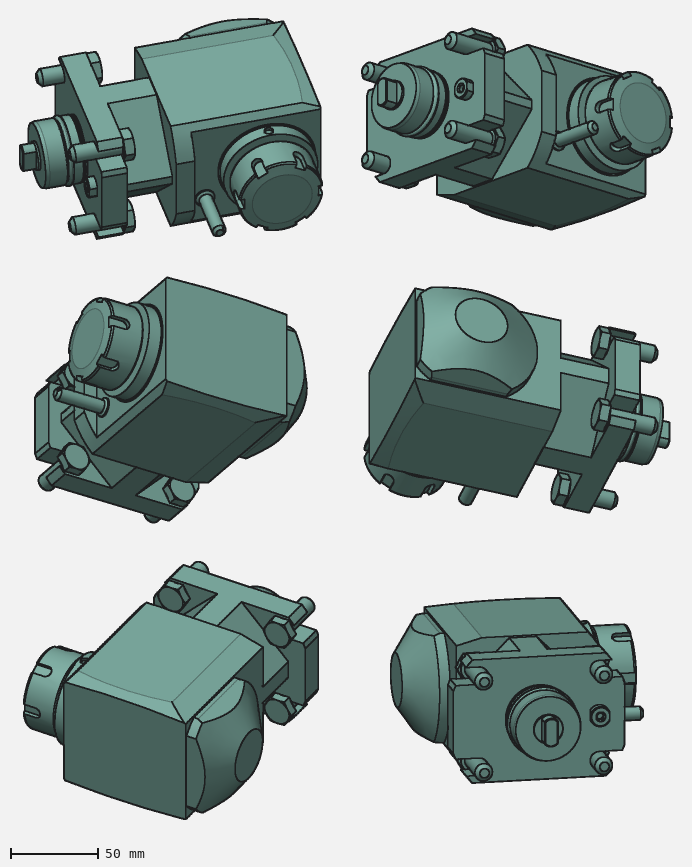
import cadquery as cq
import math


DISC_RADIUS = 53.5
FLANGE_HALF_WIDTH = 50.1
FLANGE_HALF_HEIGHT = 36.5
FLANGE_THICKNESS = 15.2
WEB_HALF_WIDTH = 8.0

HOUSING_FRONT = 44.1
HOUSING_BACK = 132.4
HOUSING_LEFT = -39.0
HOUSING_RIGHT = 41.8
HOUSING_HALF_HEIGHT = 37.5
LEFT_CHAMFER_RUN = 15.0
LEFT_CHAMFER_DROP = 4.0
LUG_BACK = 55.3
CROWN_RADIUS = 566.1
CROWN_CENTRE_X = 6.8
CROWN_LENGTH = 7.0
CROWN_SLOPE = 0.28

BOLT_X = 35.1
BOLT_Z = 27.0
BOLT_DIAMETER = 10.3
BOLT_TIP_DIAMETER = 5.5
BOLT_TIP_LENGTH = 2.3
BOLT_REACH = 15.0
BOLT_HEAD_FLATS = 16.2
BOLT_HEAD_TOP = 21.6
BOLT_HEAD_CHAMFER = 0.5
WASHER_DIAMETER = 14.7
WASHER_THICKNESS = 0.5

SHAFT_RADIUS = 20.0
SHAFT_RELIEF_RADIUS = 19.6
ROOT_GROOVE_RADIUS = 19.3
ROOT_GROOVE_START = 1.0
ROOT_GROOVE_END = 1.7
SHAFT_SHOULDER_START = 2.5
SHAFT_SHOULDER_END = 8.0
GROOVE_RADIUS = 17.8
GROOVE_END = 12.0
SHAFT_END = 24.8
SHAFT_CHAMFER_LENGTH = 2.2
SHAFT_CHAMFER_DEPTH = 0.7
RING_SECTION_RADIUS = 1.5
RING_OUTER_RADIUS = 20.6
TANG_SEAT_RADIUS = 8.5
TANG_SEAT_END = 26.1
TANG_WIDTH = 8.0
TANG_HEIGHT = 16.8
TANG_END = 34.1
TANG_SIDE_HEIGHT = 12.7
TANG_END_CHAMFER = 0.5

STUD_DIAMETER = 11.8
STUD_WIDTH = 10.5
STUD_HEIGHT = 5.0
STUD_CHAMFER = 0.5
STUD_HOLE_DIAMETER = 4.0
STUD_HOLE_DEPTH = 3.3
STUD_HOLE_CHAMFER = 0.8

SPINDLE_Y = 100.2
COLLAR_RADIUS = 28.0
COLLAR_FOOT_RADIUS = 29.0
COLLAR_FOOT_END = 42.3
COLLAR_END = 50.3
COLLAR_HOLE_X = 46.3
COLLAR_HOLE_DIAMETER = 5.3
COLLAR_HOLE_DEPTH = 1.7
NECK_RADIUS = 20.5
NUT_START = 52.1
NUT_END = 74.6
NUT_RADIUS = 25.0
NUT_BACK_CHAMFER = 0.8
NUT_FRONT_START = 72.0
NUT_RIM_X = 73.1
NUT_RIM_RADIUS = 24.3
NUT_FACE_RADIUS = 17.8
NUT_SLOT_COUNT = 6
NUT_SLOT_WIDTH = 6.7
NUT_SLOT_START = 61.6
NUT_SLOT_FLOOR = 22.0

NOZZLE_Y = 63.5
NOZZLE_Z = -17.5
NOZZLE_RADIUS = 4.0
NOZZLE_FOOT_RADIUS = 5.7
NOZZLE_FOOT_END = 42.6
NOZZLE_STEM_START = 43.8
NOZZLE_CONE_START = 72.5
NOZZLE_END = 74.3
NOZZLE_TIP_RADIUS = 2.2
NOZZLE_OUTLET_DIAMETER = 2.3
NOZZLE_OUTLET_DEPTH = 1.7
NOZZLE_OUTLET_ANGLE = 45.0

CAP_RADIUS = 39.8
CAP_FACE_RADIUS = 15.8
CAP_FACE_X = -62.1
CAP_RIM_X = -45.3
CAP_BACK = 131.5
CAP_HALF_HEIGHT = 32.5
CAP_TAPER_START = -41.6
CAP_TAPER_SLOPE = 0.26


def across(y_start):
    """Plane at right angles to Y: local axes are X and Z, and a negative extrusion runs to +Y."""
    return cq.Workplane("XZ", origin=(0, y_start, 0))


def box(x_range, y_range, z_range):
    size = [high - low for low, high in (x_range, y_range, z_range)]
    return cq.Workplane("XY", origin=(x_range[0], y_range[0], z_range[0])).box(*size, centered=False)


def turned_along_x(points, y, z):
    """Solid of revolution about an axis parallel to X, from (x, radius) points."""
    outline = [(points[0][0], 0), *points, (points[-1][0], 0)]
    return cq.Workplane("XY", origin=(0, y, z)).polyline(outline).close().revolve(360, (0, 0), (1, 0))


def turned_along_y(points, x, z):
    """Solid of revolution about an axis parallel to Y, from (radius, y) points."""
    outline = [(0, points[0][1]), *points, (0, points[-1][1])]
    return cq.Workplane("XY", origin=(x, 0, z)).polyline(outline).close().revolve(360, (0, 0), (0, 1))


def disc_slice(y_start, y_end, x_range, half_height):
    """Slice of the large round disc on the shaft axis, trimmed flat on its sides."""
    disc = across(y_start).circle(DISC_RADIUS).extrude(y_start - y_end)
    return disc.intersect(box(x_range, (y_start, y_end), (-half_height, half_height)))


def make_flange():
    flange = disc_slice(0, FLANGE_THICKNESS, (-FLANGE_HALF_WIDTH, FLANGE_HALF_WIDTH), FLANGE_HALF_HEIGHT)
    for side in (-1, 1):
        for z in (-BOLT_Z, BOLT_Z):
            x_range = sorted((side * BOLT_X, side * DISC_RADIUS))
            z_range = (z - BOLT_DIAMETER / 2, z + BOLT_DIAMETER / 2)
            flange = flange.cut(box(x_range, (0, FLANGE_THICKNESS), z_range))
    return flange


def make_neck():
    """Web between flange and housing that widens at 45 degrees to the sides of the housing."""
    rise = FLANGE_HALF_HEIGHT + WEB_HALF_WIDTH
    top_half = [
        (HOUSING_RIGHT, rise - HOUSING_RIGHT),
        (WEB_HALF_WIDTH, FLANGE_HALF_HEIGHT),
        (-WEB_HALF_WIDTH, FLANGE_HALF_HEIGHT),
        (HOUSING_LEFT, rise + HOUSING_LEFT),
    ]
    bottom_half = [(x, -z) for x, z in reversed(top_half)]
    outline = across(FLANGE_THICKNESS).polyline(top_half + bottom_half).close()
    return outline.extrude(FLANGE_THICKNESS - HOUSING_FRONT)


def make_crown_limit(side):
    """Very large cone that slopes the back of the top or bottom of the housing."""
    front_radius = CROWN_RADIUS + CROWN_SLOPE * (HOUSING_BACK - CROWN_LENGTH - HOUSING_FRONT)
    back_radius = CROWN_RADIUS - CROWN_SLOPE * CROWN_LENGTH
    profile = [(front_radius, HOUSING_FRONT), (back_radius, HOUSING_BACK)]
    return turned_along_y(profile, CROWN_CENTRE_X, side * (HOUSING_HALF_HEIGHT - CROWN_RADIUS))


def make_housing():
    housing = disc_slice(HOUSING_FRONT, HOUSING_BACK, (HOUSING_LEFT, HOUSING_RIGHT), HOUSING_HALF_HEIGHT)
    for side in (-1, 1):
        edge = [
            (HOUSING_LEFT, side * HOUSING_HALF_HEIGHT),
            (HOUSING_LEFT + LEFT_CHAMFER_RUN, side * HOUSING_HALF_HEIGHT),
            (HOUSING_LEFT, side * (HOUSING_HALF_HEIGHT - LEFT_CHAMFER_DROP)),
        ]
        chamfer = across(HOUSING_FRONT).polyline(edge).close().extrude(HOUSING_FRONT - HOUSING_BACK)
        housing = housing.cut(chamfer)
        housing = housing.intersect(make_crown_limit(side))
    lug = disc_slice(HOUSING_FRONT, LUG_BACK, (0, FLANGE_HALF_WIDTH), HOUSING_HALF_HEIGHT)
    return housing.union(lug)


def make_bolt(x, z):
    radius = BOLT_DIAMETER / 2
    head_start = FLANGE_THICKNESS + WASHER_THICKNESS
    shank = turned_along_y(
        [
            (BOLT_TIP_DIAMETER / 2, -BOLT_REACH),
            (radius, BOLT_TIP_LENGTH - BOLT_REACH),
            (radius, FLANGE_THICKNESS),
            (WASHER_DIAMETER / 2, FLANGE_THICKNESS),
            (WASHER_DIAMETER / 2, BOLT_HEAD_TOP),
        ],
        x,
        z,
    )
    corner_radius = BOLT_HEAD_FLATS / math.sqrt(3)
    head = across(head_start).center(x, z).polygon(6, 2 * corner_radius).extrude(head_start - BOLT_HEAD_TOP)
    chamfered = turned_along_y(
        [
            (corner_radius, head_start),
            (corner_radius, BOLT_HEAD_TOP - BOLT_HEAD_CHAMFER),
            (BOLT_HEAD_FLATS / 2, BOLT_HEAD_TOP),
        ],
        x,
        z,
    )
    return shank.union(head.intersect(chamfered))


def make_shaft():
    shaft = turned_along_y(
        [
            (SHAFT_RELIEF_RADIUS, 0),
            (SHAFT_RELIEF_RADIUS, -ROOT_GROOVE_START),
            (ROOT_GROOVE_RADIUS, -ROOT_GROOVE_START),
            (ROOT_GROOVE_RADIUS, -ROOT_GROOVE_END),
            (SHAFT_RELIEF_RADIUS, -ROOT_GROOVE_END),
            (SHAFT_RELIEF_RADIUS, -SHAFT_SHOULDER_START),
            (SHAFT_RADIUS, -SHAFT_SHOULDER_START),
            (SHAFT_RADIUS, -SHAFT_SHOULDER_END),
            (GROOVE_RADIUS, -SHAFT_SHOULDER_END),
            (GROOVE_RADIUS, -GROOVE_END),
            (SHAFT_RELIEF_RADIUS, -GROOVE_END),
            (SHAFT_RELIEF_RADIUS, SHAFT_CHAMFER_LENGTH - SHAFT_END),
            (SHAFT_RELIEF_RADIUS - SHAFT_CHAMFER_DEPTH, -SHAFT_END),
            (TANG_SEAT_RADIUS, -SHAFT_END),
            (TANG_SEAT_RADIUS, -TANG_SEAT_END),
        ],
        0,
        0,
    )
    ring_radius = RING_OUTER_RADIUS - RING_SECTION_RADIUS
    seal_ring = (
        cq.Workplane("XY")
        .center(ring_radius, -SHAFT_SHOULDER_END - RING_SECTION_RADIUS)
        .circle(RING_SECTION_RADIUS)
        .revolve(360, (-ring_radius, 0), (-ring_radius, 1))
    )
    side_x = TANG_WIDTH / 2
    side_z = TANG_SIDE_HEIGHT / 2
    tang = (
        across(-TANG_SEAT_END)
        .moveTo(side_x, -side_z)
        .lineTo(side_x, side_z)
        .threePointArc((0, TANG_HEIGHT / 2), (-side_x, side_z))
        .lineTo(-side_x, -side_z)
        .threePointArc((0, -TANG_HEIGHT / 2), (side_x, -side_z))
        .close()
        .extrude(TANG_END - TANG_SEAT_END)
        .faces("<Y")
        .chamfer(TANG_END_CHAMFER)
    )
    return shaft.union(seal_ring).union(tang)


def make_stud():
    """Flat-sided stud on the flange face with a countersunk hole in its end."""
    half_width = STUD_WIDTH / 2
    stud = across(0).center(BOLT_X, 0).circle(STUD_DIAMETER / 2).extrude(STUD_HEIGHT)
    stud = stud.faces("<Y").chamfer(STUD_CHAMFER)
    flats = box(
        (BOLT_X - half_width, BOLT_X + half_width), (-STUD_HEIGHT, 0), (-STUD_DIAMETER / 2, STUD_DIAMETER / 2)
    )
    hole_radius = STUD_HOLE_DIAMETER / 2
    hole = turned_along_y(
        [
            (hole_radius + STUD_HOLE_CHAMFER, -STUD_HEIGHT),
            (hole_radius, STUD_HOLE_CHAMFER - STUD_HEIGHT),
            (hole_radius, STUD_HOLE_DEPTH - STUD_HEIGHT),
        ],
        BOLT_X,
        0,
    )
    return stud.intersect(flats).cut(hole)


def make_collar():
    collar = turned_along_x(
        [
            (HOUSING_RIGHT, COLLAR_FOOT_RADIUS),
            (COLLAR_FOOT_END, COLLAR_FOOT_RADIUS),
            (COLLAR_FOOT_END, COLLAR_RADIUS),
            (COLLAR_END, COLLAR_RADIUS),
        ],
        SPINDLE_Y,
        0,
    )
    hole_radius = COLLAR_HOLE_DIAMETER / 2
    drill = (
        cq.Workplane("XZ", origin=(COLLAR_HOLE_X, SPINDLE_Y, COLLAR_RADIUS - COLLAR_HOLE_DEPTH))
        .polyline([(0, -hole_radius), (hole_radius, 0), (hole_radius, COLLAR_RADIUS), (0, COLLAR_RADIUS)])
        .close()
        .revolve(360, (0, 0), (0, 1))
    )
    return collar.cut(drill)


def make_nozzle():
    """Coolant tube with a small outlet drilled through the conical tip towards the spindle."""
    tube = turned_along_x(
        [
            (HOUSING_RIGHT, NOZZLE_FOOT_RADIUS),
            (NOZZLE_FOOT_END, NOZZLE_FOOT_RADIUS),
            (NOZZLE_STEM_START, NOZZLE_RADIUS),
            (NOZZLE_CONE_START, NOZZLE_RADIUS),
            (NOZZLE_END, NOZZLE_TIP_RADIUS),
        ],
        NOZZLE_Y,
        NOZZLE_Z,
    )
    angle = math.radians(NOZZLE_OUTLET_ANGLE)
    to_spindle = cq.Vector(0, SPINDLE_Y - NOZZLE_Y, -NOZZLE_Z).normalized()
    along_tube = cq.Vector(1, 0, 0)
    direction = along_tube * math.cos(angle) + to_spindle * math.sin(angle)
    cone_middle = cq.Vector((NOZZLE_CONE_START + NOZZLE_END) / 2, NOZZLE_Y, NOZZLE_Z)
    cone_surface = cone_middle + to_spindle * ((NOZZLE_RADIUS + NOZZLE_TIP_RADIUS) / 2)
    bottom = cone_surface - direction * NOZZLE_OUTLET_DEPTH
    outlet = cq.Solid.makeCylinder(NOZZLE_OUTLET_DIAMETER / 2, 2 * NOZZLE_OUTLET_DEPTH, bottom, direction)
    return tube.cut(cq.Workplane(outlet))


def make_cap():
    """Conical cap trimmed level with the back and tapered on its top and bottom."""
    cone = turned_along_x(
        [(CAP_FACE_X, CAP_FACE_RADIUS), (CAP_RIM_X, CAP_RADIUS), (HOUSING_LEFT, CAP_RADIUS)], SPINDLE_Y, 0
    )
    face_half_height = CAP_HALF_HEIGHT - CAP_TAPER_SLOPE * (CAP_TAPER_START - CAP_FACE_X)
    top_half = [
        (HOUSING_LEFT, CAP_HALF_HEIGHT),
        (CAP_TAPER_START, CAP_HALF_HEIGHT),
        (CAP_FACE_X, face_half_height),
    ]
    bottom_half = [(x, -z) for x, z in reversed(top_half)]
    front = SPINDLE_Y - CAP_RADIUS
    limit = across(front).polyline(top_half + bottom_half).close().extrude(front - CAP_BACK)
    return cone.intersect(limit)


def make_tool_holder():
    body = make_flange().union(make_neck()).union(make_housing())
    for x in (-BOLT_X, BOLT_X):
        for z in (-BOLT_Z, BOLT_Z):
            body = body.union(make_bolt(x, z))
    for feature in (make_shaft(), make_stud(), make_collar(), make_nozzle(), make_cap()):
        body = body.union(feature)
    return body


def make_nut_slot(angle):
    """Round-ended wrench slot, open at the front of the nut, cut from the -Y side and turned."""
    radius = NUT_SLOT_WIDTH / 2
    slot_depth = NUT_RADIUS - NUT_SLOT_FLOOR
    plane = cq.Workplane("XZ", origin=(0, SPINDLE_Y - NUT_SLOT_FLOOR, 0))
    slot = (
        plane.moveTo(NUT_END, radius)
        .lineTo(NUT_SLOT_START + radius, radius)
        .threePointArc((NUT_SLOT_START, 0), (NUT_SLOT_START + radius, -radius))
        .lineTo(NUT_END, -radius)
        .close()
        .extrude(slot_depth)
    )
    return slot.rotate((0, SPINDLE_Y, 0), (1, SPINDLE_Y, 0), angle)


def make_nut():
    """Collet clamping nut on its short spindle neck."""
    nut = turned_along_x(
        [
            (COLLAR_END, NECK_RADIUS),
            (NUT_START, NECK_RADIUS),
            (NUT_START, NUT_RADIUS - NUT_BACK_CHAMFER),
            (NUT_START + NUT_BACK_CHAMFER, NUT_RADIUS),
            (NUT_FRONT_START, NUT_RADIUS),
            (NUT_RIM_X, NUT_RIM_RADIUS),
            (NUT_END, NUT_FACE_RADIUS),
        ],
        SPINDLE_Y,
        0,
    )
    for index in range(NUT_SLOT_COUNT):
        nut = nut.cut(make_nut_slot(index * 360 / NUT_SLOT_COUNT))
    return nut


tool_holder = make_tool_holder()
nut = make_nut()

result = cq.Compound.makeCompound([tool_holder.val(), nut.val()])